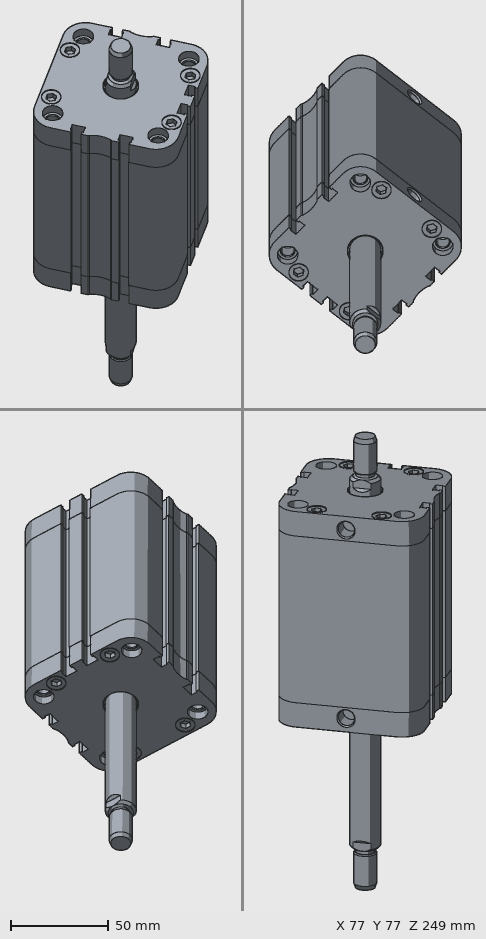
import cadquery as cq
import math


WIDTH = 77.0
HALF = WIDTH / 2
CORNER_RADIUS = 12.0
HOUSING_LENGTH = 119.0
CAP_LENGTH = 13.5
BARREL_LENGTH = HOUSING_LENGTH - 2 * CAP_LENGTH

SLOT_DEPTH = 5.3
SLOT_INNER_WIDTH = 7.0
SLOT_LIP = 1.7
CAP_SLOT_NECK = 5.6
BARREL_SLOT_NECK = 5.2
FRONT_SLOT_OFFSET = 12.8
SIDE_SLOT_OFFSET = 6.75

GROOVE_MOUTH_WIDTH = 12.6
GROOVE_ARC_WIDTH = 11.2
GROOVE_BEVEL_DEPTH = 0.5
GROOVE_DEPTH = 1.5

MOUNT_PITCH = 56.5
MOUNT_THREAD_DIAMETER = 6.65
MOUNT_SINK_DIAMETER = 10.5
MOUNT_SINK_DEPTH = 5.0
MOUNT_CHAMFER = 0.5
SCREW_X = 32.2
SCREW_Y = 17.25
SCREW_HEAD_DIAMETER = 10.0
SCREW_HEAD_RECESS = 0.5
SOCKET_ACROSS_FLATS = 5.0
SOCKET_DEPTH = 3.0
PORT_DIAMETER = 8.57
PORT_MOUTH_DIAMETER = 9.8
PORT_MOUTH_DEPTH = 1.0
PORT_DEPTH = 10.0
PORT_INSET = 7.5
ROD_RECESS_DIAMETER = 17.7
ROD_RECESS_CHAMFER = 0.4
ROD_RECESS_DEPTH = 1.5

ROD_DIAMETER = 16.0
STROKE = 70.0
NECK_LENGTH = 8.5
NECK_CHAMFER = 1.5
NECK_ROOT = 0.5
THREAD_DIAMETER = 12.0
STUD_LENGTH = 21.5
UNDERCUT_DIAMETER = 9.8
UNDERCUT_LENGTH = 1.8
THREAD_CHAMFER = 0.6
TIP_DIAMETER = 10.3
TIP_LENGTH = 2.5
FLATS_WIDTH = 13.0
FLATS_START = 3.3
UPPER_SHOULDER = HOUSING_LENGTH + NECK_LENGTH
LOWER_SHOULDER = -(STROKE + NECK_LENGTH)


def slot_cutter(neck_width, length):
    """T-slot opening on the +Y face, centred on X = 0."""
    inner_height = SLOT_DEPTH - SLOT_LIP
    inner = cq.Workplane("XY").box(SLOT_INNER_WIDTH, inner_height, length, centered=(True, False, False))
    neck = cq.Workplane("XY").box(neck_width, SLOT_DEPTH, length, centered=(True, False, False))
    return inner.union(neck).translate((0, HALF - SLOT_DEPTH, 0))


def groove_cutter(length):
    """Round groove with bevelled edges in the +Y face."""
    arc_edge = HALF - GROOVE_BEVEL_DEPTH
    return (
        cq.Workplane("XY")
        .moveTo(-GROOVE_MOUTH_WIDTH / 2, HALF)
        .lineTo(-GROOVE_ARC_WIDTH / 2, arc_edge)
        .threePointArc((0, HALF - GROOVE_DEPTH), (GROOVE_ARC_WIDTH / 2, arc_edge))
        .lineTo(GROOVE_MOUTH_WIDTH / 2, HALF)
        .close()
        .extrude(length)
    )


def make_profile(neck_width, length):
    """Rounded square bar with the slots, grooves and rod bore, standing on Z = 0."""
    body = cq.Workplane("XY").rect(WIDTH, WIDTH).extrude(length).edges("|Z").fillet(CORNER_RADIUS)
    slot = slot_cutter(neck_width, length)
    groove = groove_cutter(length)
    for face_angle in (0, 180):
        body = body.cut(groove.rotate((0, 0, 0), (0, 0, 1), face_angle))
        for side in (-1, 1):
            offset_slot = slot.translate((side * FRONT_SLOT_OFFSET, 0, 0))
            body = body.cut(offset_slot.rotate((0, 0, 0), (0, 0, 1), face_angle))
    for side in (-1, 1):
        offset_slot = slot.translate((side * SIDE_SLOT_OFFSET, 0, 0))
        body = body.cut(offset_slot.rotate((0, 0, 0), (0, 0, 1), -90))
    return body.cut(cq.Workplane("XY").circle(ROD_DIAMETER / 2).extrude(length))


def top_recess(diameter, depth):
    """Round recess sunk from the outer cap face at Z = CAP_LENGTH."""
    return cq.Workplane("XY").workplane(offset=CAP_LENGTH - depth).circle(diameter / 2).extrude(depth)


def mount_cutter():
    """Stepped mounting hole through a cap, outer face at Z = CAP_LENGTH."""
    hole = cq.Workplane("XY").circle(MOUNT_THREAD_DIAMETER / 2).extrude(CAP_LENGTH)
    sink_floor = CAP_LENGTH - MOUNT_SINK_DEPTH
    sink = top_recess(MOUNT_SINK_DIAMETER, MOUNT_SINK_DEPTH)
    lead_in = cq.Workplane(
        cq.Solid.makeCone(
            MOUNT_THREAD_DIAMETER / 2,
            MOUNT_THREAD_DIAMETER / 2 + MOUNT_CHAMFER,
            MOUNT_CHAMFER,
            cq.Vector(0, 0, sink_floor - MOUNT_CHAMFER),
        )
    )
    return hole.union(lead_in).union(sink)


def screw_cutter():
    """Sunken screw head with a hexagon socket, outer face at Z = CAP_LENGTH."""
    head_level = CAP_LENGTH - SCREW_HEAD_RECESS
    recess = top_recess(SCREW_HEAD_DIAMETER, SCREW_HEAD_RECESS)
    corner_diameter = SOCKET_ACROSS_FLATS / math.cos(math.pi / 6)
    socket = (
        cq.Workplane("XY")
        .polygon(6, corner_diameter)
        .extrude(SOCKET_DEPTH)
        .rotate((0, 0, 0), (0, 0, 1), 90)
        .translate((0, 0, head_level - SOCKET_DEPTH))
    )
    return recess.union(socket)


def port_cutter():
    """Air port entering the -X face, with a chamfered mouth."""
    face_point = cq.Vector(-HALF, 0, CAP_LENGTH - PORT_INSET)
    inward = cq.Vector(1, 0, 0)
    bore_radius = PORT_DIAMETER / 2
    mouth_radius = PORT_MOUTH_DIAMETER / 2
    bore = cq.Solid.makeCylinder(bore_radius, PORT_DEPTH, face_point, inward)
    mouth = cq.Solid.makeCone(mouth_radius, bore_radius, PORT_MOUTH_DEPTH, face_point, inward)
    return cq.Workplane(bore).union(cq.Workplane(mouth))


def rod_recess_cutter():
    """Clearance recess around the rod with a chamfered mouth, outer face at Z = CAP_LENGTH."""
    inner_radius = ROD_RECESS_DIAMETER / 2
    base = cq.Vector(0, 0, CAP_LENGTH - ROD_RECESS_CHAMFER)
    mouth = cq.Solid.makeCone(inner_radius, inner_radius + ROD_RECESS_CHAMFER, ROD_RECESS_CHAMFER, base)
    return top_recess(ROD_RECESS_DIAMETER, ROD_RECESS_DEPTH).union(cq.Workplane(mouth))


def make_cap():
    """End cap standing on its barrel joint at Z = 0, outer face up."""
    cap = make_profile(CAP_SLOT_NECK, CAP_LENGTH)
    mount = mount_cutter()
    screw = screw_cutter()
    for side_x in (-1, 1):
        for side_y in (-1, 1):
            cap = cap.cut(mount.translate((side_x * MOUNT_PITCH / 2, side_y * MOUNT_PITCH / 2, 0)))
            cap = cap.cut(screw.translate((side_x * SCREW_X, side_y * SCREW_Y, 0)))
    return cap.cut(rod_recess_cutter()).cut(port_cutter())


def make_barrel():
    """Barrel between the caps, standing on Z = 0."""
    return make_profile(BARREL_SLOT_NECK, BARREL_LENGTH)


def flat_cutters(face_level):
    """Wrench flats on both X sides of a rod neck; the neck starts at Z = face_level."""
    neck_end = face_level + NECK_LENGTH
    ramp = (ROD_DIAMETER - FLATS_WIDTH) / 2
    cutter = (
        cq.Workplane("XZ")
        .moveTo(FLATS_WIDTH / 2, face_level + FLATS_START)
        .lineTo(FLATS_WIDTH / 2, neck_end)
        .lineTo(ROD_DIAMETER / 2, neck_end)
        .lineTo(ROD_DIAMETER / 2, face_level + FLATS_START - ramp)
        .close()
        .extrude(ROD_DIAMETER / 2, both=True)
    )
    return cutter.union(cutter.mirror("YZ"))


def rod_end_points(shoulder, direction):
    """Half profile of a rod end from the full rod to its tip; direction is +1 up or -1 down."""
    tip = shoulder + direction * STUD_LENGTH
    return [
        (ROD_DIAMETER / 2, shoulder - direction * (NECK_CHAMFER + NECK_ROOT)),
        (ROD_DIAMETER / 2 - NECK_CHAMFER, shoulder - direction * NECK_ROOT),
        (UNDERCUT_DIAMETER / 2, shoulder),
        (UNDERCUT_DIAMETER / 2, shoulder + direction * UNDERCUT_LENGTH),
        (THREAD_DIAMETER / 2 - THREAD_CHAMFER, shoulder + direction * UNDERCUT_LENGTH),
        (THREAD_DIAMETER / 2, shoulder + direction * (UNDERCUT_LENGTH + THREAD_CHAMFER)),
        (THREAD_DIAMETER / 2, tip - direction * TIP_LENGTH),
        (TIP_DIAMETER / 2, tip),
        (0, tip),
    ]


def make_rod():
    """Through rod with a wrench neck and a threaded stud at each end."""
    upper = rod_end_points(UPPER_SHOULDER, 1)
    lower = rod_end_points(LOWER_SHOULDER, -1)
    rod = cq.Workplane("XZ").polyline(lower[::-1] + upper).close().revolve(360, (0, 0, 0), (0, 1, 0))
    upper_flats = flat_cutters(HOUSING_LENGTH)
    lower_flats = flat_cutters(STROKE).mirror("XY")
    return rod.cut(upper_flats).cut(lower_flats)


barrel = make_barrel().translate((0, 0, CAP_LENGTH))
upper_cap = make_cap().translate((0, 0, HOUSING_LENGTH - CAP_LENGTH))
lower_cap = make_cap().mirror("XY").translate((0, 0, CAP_LENGTH))
rod = make_rod()

result = cq.Compound.makeCompound([barrel.val(), upper_cap.val(), lower_cap.val(), rod.val()])